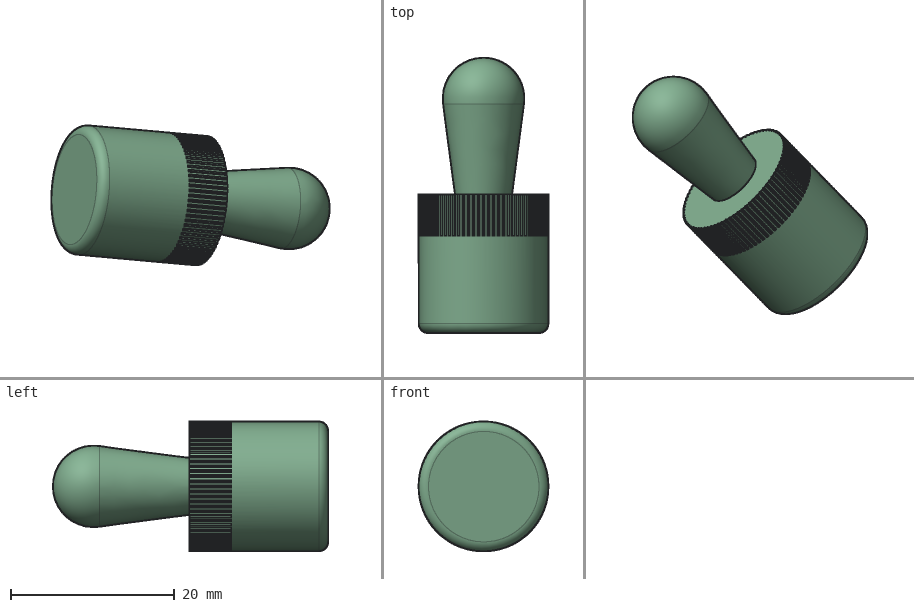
import cadquery as cq
import math

HOUSING_DIAMETER = 15.88
HOUSING_LENGTH = 16.95
FRONT_FILLET = 1.19

KNURL_LENGTH = 5.08
GROOVE_COUNT = 80
GROOVE_WIDTH = 0.31
GROOVE_DEPTH = GROOVE_WIDTH / 2

OVERALL_LENGTH = 33.64
BALL_DIAMETER = 10.0
TAPER_ANGLE = math.radians(7.5)

HOUSING_RADIUS = HOUSING_DIAMETER / 2
BALL_RADIUS = BALL_DIAMETER / 2
GROOVE_PITCH = 360 / GROOVE_COUNT


def knurl_groove_profile():
    """Triangular section of the groove at +X, with its mouth well outside the housing."""
    root = HOUSING_RADIUS - GROOVE_DEPTH
    flank_slope = GROOVE_WIDTH / 2 / GROOVE_DEPTH
    mouth_height = 2 * GROOVE_DEPTH
    half_mouth = mouth_height * flank_slope
    return [(root, 0), (root + mouth_height, -half_mouth), (root + mouth_height, half_mouth)]


def make_knurl_grooves():
    groove = cq.Workplane("XZ").polyline(knurl_groove_profile()).close().extrude(KNURL_LENGTH).val()
    grooves = []
    for index in range(GROOVE_COUNT):
        grooves.append(groove.rotate(cq.Vector(0, 0, 0), cq.Vector(0, 1, 0), index * GROOVE_PITCH))
    return cq.Compound.makeCompound(grooves)


def make_housing():
    body = cq.Workplane("XZ").circle(HOUSING_RADIUS).extrude(HOUSING_LENGTH)
    body = body.faces("<Y").edges().fillet(FRONT_FILLET)
    return body.cut(cq.Workplane(make_knurl_grooves()))


def make_handle():
    """Revolve the half profile about Y; the base rests on the knurled end face of the housing."""
    tip_y = OVERALL_LENGTH - HOUSING_LENGTH
    ball_centre_y = tip_y - BALL_RADIUS

    tangent_radius = BALL_RADIUS * math.cos(TAPER_ANGLE)
    tangent_y = ball_centre_y - BALL_RADIUS * math.sin(TAPER_ANGLE)
    base_radius = tangent_radius - tangent_y * math.tan(TAPER_ANGLE)

    return (
        cq.Workplane("XY")
        .lineTo(base_radius, 0)
        .lineTo(tangent_radius, tangent_y)
        .threePointArc((BALL_RADIUS, ball_centre_y), (0, tip_y))
        .close()
        .revolve(360, (0, 0, 0), (0, 1, 0))
    )


housing = make_housing()
handle = make_handle()

result = cq.Compound.makeCompound([housing.val(), handle.val()])